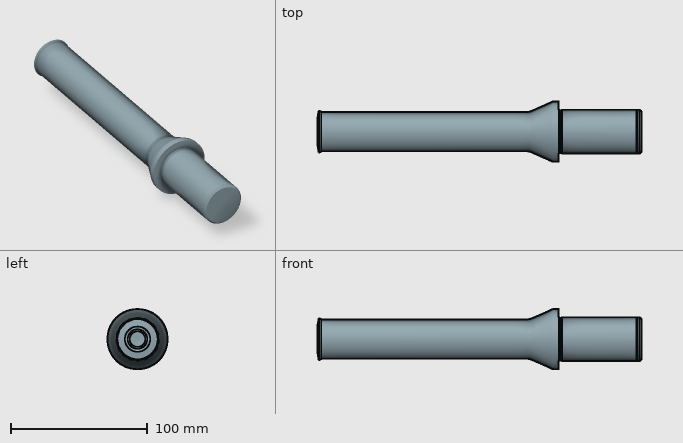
import cadquery as cq

total_length = 237.0
lip_position = 1.7
cap_length = 3.0
cone_start = 155.0
rim_start = 172.0
rim_end = 176.3
root_groove_end = 179.0
root_groove_wall = 0.7
end_groove_start = 233.0
end_groove_end = 234.2

shaft_radius = 29.0 / 2
lip_radius = 30.5 / 2
spigot_radius = 32.0 / 2
collar_radius = 44.0 / 2
groove_radius = 31.5 / 2

end_chamfer = 1.5
root_blend_radius = 6.0
rim_blend_radius = 2.0

face_radius = 14.7
face_edge_position = 1.0
ring_outer_radius = 9.2
ring_bottom_radius = 7.0
ring_inner_radius = 5.7
ring_depth = 0.5
center_depth = 0.5


def revolve_about_x(profile):
    """Turn a closed half profile, drawn as (X, radius), around the X axis."""
    return profile.close().revolve(360, (0, 0, 0), (1, 0, 0))


def make_cap():
    """End cap with a lip that stands proud of the shaft."""
    return revolve_about_x(
        cq.Workplane("XY")
        .moveTo(center_depth, 0)
        .lineTo(0, ring_inner_radius)
        .lineTo(ring_depth, ring_bottom_radius)
        .lineTo(0, ring_outer_radius)
        .lineTo(face_edge_position, face_radius)
        .lineTo(lip_position, lip_radius)
        .lineTo(cap_length, shaft_radius)
        .lineTo(cap_length, 0)
    )


def make_spindle():
    """Shaft, conical collar and grooved spigot turned from one piece."""
    end_groove_middle = (end_groove_start + end_groove_end) / 2
    blank = revolve_about_x(
        cq.Workplane("XY")
        .moveTo(cap_length, 0)
        .lineTo(cap_length, shaft_radius)
        .lineTo(cone_start, shaft_radius)
        .lineTo(rim_start, collar_radius)
        .lineTo(rim_end, collar_radius)
        .lineTo(rim_end, spigot_radius)
        .lineTo(rim_end + root_groove_wall, groove_radius)
        .lineTo(root_groove_end - root_groove_wall, groove_radius)
        .lineTo(root_groove_end, spigot_radius)
        .lineTo(end_groove_start, spigot_radius)
        .lineTo(end_groove_middle, groove_radius)
        .lineTo(end_groove_end, spigot_radius)
        .lineTo(total_length - end_chamfer, spigot_radius)
        .lineTo(total_length, spigot_radius - end_chamfer)
        .lineTo(total_length, 0)
    )
    return blend_cone(blank)


def blend_cone(blank):
    """Round the two edges where the cone meets the shaft and the rim."""
    for position, blend_radius in (
        (cone_start, root_blend_radius),
        (rim_start, rim_blend_radius),
    ):
        edge_circle = cq.selectors.NearestToPointSelector((position, 0, 0))
        blank = blank.edges(edge_circle).fillet(blend_radius)
    return blank


cap = make_cap()
spindle = make_spindle()
result = cq.Compound.makeCompound([cap.val(), spindle.val()])